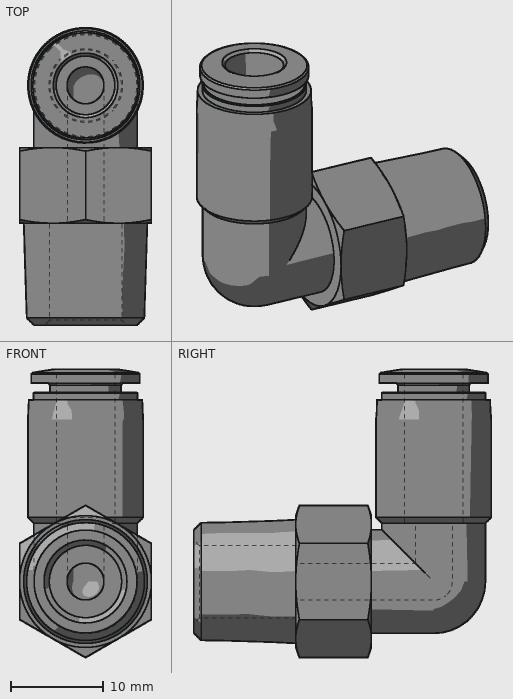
import cadquery as cq
import math


elbow_radius = 11.25 / 2
passage_radius = 4.0 / 2

socket_radius = 12.5 / 2
socket_bottom = 6.32
socket_chamfer = socket_radius - elbow_radius
cap_bottom = 17.55
cap_top = 19.67
cap_top_radius = 6.15
collar_radius = 11.3 / 2
collar_top = 20.5
collar_chamfer = 0.13

neck_radius = 7.75 / 2
neck_flare_radius = 4.0
neck_flare_bottom = 21.25
flange_radius = 11.8 / 2
flange_bottom = 21.48
flange_rim = 22.45
flange_top_radius = 5.7
flange_edge_top = 22.65
button_top = 23.0
tube_bore_radius = 6.35 / 2
tube_bore_chamfer = 0.32
tube_bore_floor = socket_bottom

hex_flats = 14.3
hex_corners = hex_flats / math.cos(math.pi / 6)
hex_start = 6.75
hex_end = 14.93
hex_face_radius = hex_flats / 2
hex_chamfer_depth = 0.4
stud_end = 32.25 - socket_radius
stud_root_radius = 6.7
stud_tip_radius = 6.4
stud_chamfer = 0.8
stud_bore_radius = 7.85 / 2
stud_bore_chamfer = 0.58
stud_bore_floor = hex_end


def revolve_upright(points):
    """Turn a closed (radius, height) outline about the Z axis."""
    return cq.Workplane("XZ").polyline(points).close().revolve(360, (0, 0), (0, 1))


def revolve_along_stud(points):
    """Turn a closed (radius, distance) outline about the stud axis, distance running to -Y."""
    return revolve_upright(points).rotate((0, 0, 0), (1, 0, 0), 90)


def make_bend(radius, height, length):
    """Round elbow: mitred cylinders up and forward, closed by a ball on the outside."""
    upright = cq.Workplane("XY").circle(radius).extrude(height)
    forward = cq.Workplane("XZ").circle(radius).extrude(length)
    return upright.union(forward).union(cq.Workplane("XY").sphere(radius))


def make_socket():
    return revolve_upright([
        (0, socket_bottom),
        (elbow_radius, socket_bottom),
        (socket_radius, socket_bottom + socket_chamfer),
        (socket_radius, cap_bottom),
        (cap_top_radius, cap_top),
        (collar_radius, cap_top),
        (collar_radius, collar_top - collar_chamfer),
        (collar_radius - collar_chamfer, collar_top),
        (neck_radius, collar_top),
        (neck_radius, neck_flare_bottom),
        (neck_flare_radius, flange_bottom),
        (flange_radius, flange_bottom),
        (flange_radius, flange_rim),
        (flange_top_radius, flange_edge_top),
        (tube_bore_radius + tube_bore_chamfer, button_top),
        (0, button_top),
    ])


def make_hexagon():
    """Hexagon with corners up and down, its corners turned off conically at both ends."""
    prism = (
        cq.Workplane("XZ", origin=(0, -hex_start, 0))
        .transformed(rotate=(0, 0, 90))
        .polygon(6, hex_corners)
        .extrude(hex_end - hex_start)
    )
    corner_radius = hex_corners / 2
    envelope = revolve_along_stud([
        (0, hex_start),
        (hex_face_radius, hex_start),
        (corner_radius, hex_start + hex_chamfer_depth),
        (corner_radius, hex_end - hex_chamfer_depth),
        (hex_face_radius, hex_end),
        (0, hex_end),
    ])
    return prism.intersect(envelope)


def make_stud():
    return revolve_along_stud([
        (0, hex_end),
        (stud_root_radius, hex_end),
        (stud_tip_radius, stud_end - stud_chamfer),
        (stud_tip_radius - stud_chamfer, stud_end),
        (0, stud_end),
    ])


def make_bore(radius, floor, mouth, chamfer, revolve):
    """Blind bore with a chamfered mouth, on the axis of the given revolve function."""
    return revolve([
        (0, floor),
        (radius, floor),
        (radius, mouth - chamfer),
        (radius + chamfer, mouth),
        (0, mouth),
    ])


body = (
    make_bend(elbow_radius, socket_bottom, hex_start)
    .union(make_socket())
    .union(make_hexagon())
    .union(make_stud())
)
passage = make_bend(passage_radius, tube_bore_floor, stud_bore_floor)
tube_bore = make_bore(
    tube_bore_radius, tube_bore_floor, button_top, tube_bore_chamfer, revolve_upright
)
stud_bore = make_bore(
    stud_bore_radius, stud_bore_floor, stud_end, stud_bore_chamfer, revolve_along_stud
)

result = body.cut(passage).cut(tube_bore).cut(stud_bore)